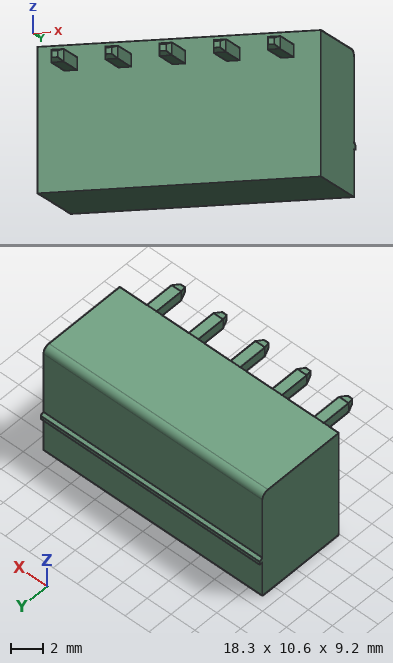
import cadquery as cq

housing_width = 18.3
housing_depth = 6.99
housing_height = 9.2
top_edge_radius = 0.51

lip_depth = 0.25
lip_bottom = 3.02
lip_outer_height = 0.27
lip_root_height = 0.42

pin_count = 5
pin_pitch = 3.5
pin_side = 0.8
pin_length = 3.39
pin_drop = 1.2
tip_side = 0.4
tip_length = 0.57

pin_height = housing_height - pin_drop
shank_length = pin_length - tip_length


def make_housing():
    """Block centred on X, with its front face at Y = 0 and its base at Z = 0."""
    block = cq.Workplane("XY").box(
        housing_width, housing_depth, housing_height, centered=(True, False, False)
    )
    return block.edges(">Y and >Z").fillet(top_edge_radius)


def make_lip():
    """Ridge with a flat underside and a top that slopes down away from the rear face."""
    outer_face = housing_depth + lip_depth
    return (
        cq.Workplane("YZ", origin=(-housing_width / 2, 0, 0))
        .moveTo(housing_depth, lip_bottom)
        .lineTo(outer_face, lip_bottom)
        .lineTo(outer_face, lip_bottom + lip_outer_height)
        .lineTo(housing_depth, lip_bottom + lip_root_height)
        .close()
        .extrude(housing_width)
    )


def make_pin(x):
    """Square pin pointing to -Y, ending in a tapered tip."""
    shank = (
        cq.Workplane("XZ", origin=(x, 0, pin_height))
        .rect(pin_side, pin_side)
        .extrude(shank_length)
    )
    tip = (
        cq.Workplane("XZ", origin=(x, -shank_length, pin_height))
        .rect(pin_side, pin_side)
        .workplane(offset=tip_length)
        .rect(tip_side, tip_side)
        .loft(ruled=True)
    )
    return shank.union(tip)


result = make_housing().union(make_lip())
for index in range(pin_count):
    pin_x = (index - (pin_count - 1) / 2) * pin_pitch
    result = result.union(make_pin(pin_x))